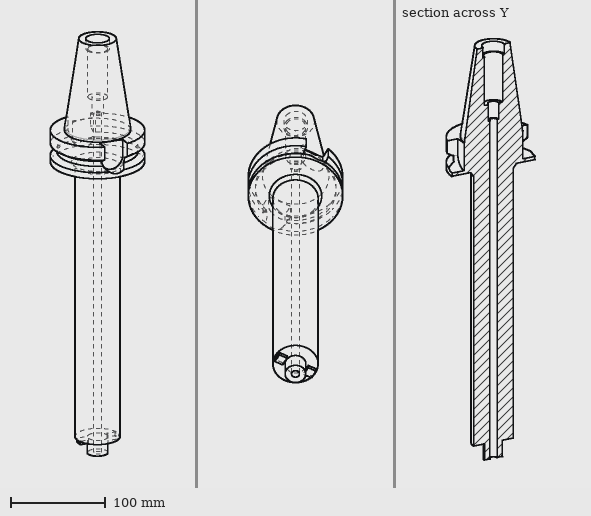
import cadquery as cq

total_height = 470.0
taper_length = 101.0
flange_depth = 38.5
collar_height = 3.0
gauge_z = total_height - taper_length
flange_top_z = gauge_z - collar_height
flange_bottom_z = gauge_z - flange_depth
upper_rim_height = 14.5
lower_rim_height = 7.0
upper_rim_bottom_z = flange_top_z - upper_rim_height
lower_rim_top_z = flange_bottom_z + lower_rim_height
groove_slope_height = 4.0
neck_height = 4.5
pilot_length = 18.5

flange_diameter = 100.0
groove_diameter = 85.5
gauge_diameter = 70.0
taper_tip_diameter = 40.0
neck_diameter = 55.5
body_diameter = 48.0
pilot_diameter = 22.0

mouth_diameter = 25.0
mouth_depth = 11.5
thread_diameter = 21.0
thread_depth = 66.0
guide_diameter = 12.0
guide_depth = 84.5
through_diameter = 8.5

slot_width = 26.5
slot_floor_x = 35.5
slot_height = 31.5

key_width = 10.0
key_height = 4.0
key_inner_y = 12.5
key_outer_y = 22.0


def make_body():
    """Turned outside shape: taper, grooved flange, long body and pilot."""
    flange_radius = flange_diameter / 2
    groove_radius = groove_diameter / 2
    gauge_radius = gauge_diameter / 2
    body_radius = body_diameter / 2
    pilot_radius = pilot_diameter / 2
    profile = [
        (0, 0),
        (pilot_radius, 0),
        (pilot_radius, pilot_length),
        (body_radius, pilot_length),
        (body_radius, flange_bottom_z - neck_height),
        (neck_diameter / 2, flange_bottom_z),
        (flange_radius, flange_bottom_z),
        (flange_radius, lower_rim_top_z),
        (groove_radius, lower_rim_top_z + groove_slope_height),
        (groove_radius, upper_rim_bottom_z - groove_slope_height),
        (flange_radius, upper_rim_bottom_z),
        (flange_radius, flange_top_z),
        (gauge_radius, flange_top_z),
        (gauge_radius, gauge_z),
        (taper_tip_diameter / 2, total_height),
        (0, total_height),
    ]
    return cq.Workplane("XZ").polyline(profile).close().revolve(360, (0, 0, 0), (0, 1, 0))


def make_bore():
    """Stepped bore, each step cut down from the taper tip."""
    steps = [
        (mouth_diameter, mouth_depth),
        (thread_diameter, thread_depth),
        (guide_diameter, guide_depth),
        (through_diameter, total_height),
    ]
    bore = cq.Workplane("XY")
    for diameter, depth in steps:
        step = cq.Workplane("XY").workplane(offset=total_height).circle(diameter / 2).extrude(-depth)
        bore = bore.union(step)
    return bore


def make_drive_slot(side):
    """Round-bottomed slot cutter, open at the rim; side is -1 or 1 along X."""
    half_width = slot_width / 2
    slot_bottom_z = flange_top_z - slot_height
    arc_start_z = slot_bottom_z + half_width
    cut_depth = flange_diameter / 2 - slot_floor_x
    return (
        cq.Workplane("YZ", origin=(side * slot_floor_x, 0, 0))
        .moveTo(-half_width, flange_top_z)
        .lineTo(-half_width, arc_start_z)
        .threePointArc((0, slot_bottom_z), (half_width, arc_start_z))
        .lineTo(half_width, flange_top_z)
        .close()
        .extrude(side * cut_depth)
    )


def make_drive_key(side):
    """Rectangular key below the body face; side is -1 or 1 along Y."""
    key_center_y = side * (key_inner_y + key_outer_y) / 2
    return (
        cq.Workplane("XY", origin=(0, key_center_y, pilot_length))
        .rect(key_width, key_outer_y - key_inner_y)
        .extrude(-key_height)
    )


result = make_body().cut(make_bore())
for side in (-1, 1):
    result = result.cut(make_drive_slot(side)).union(make_drive_key(side))